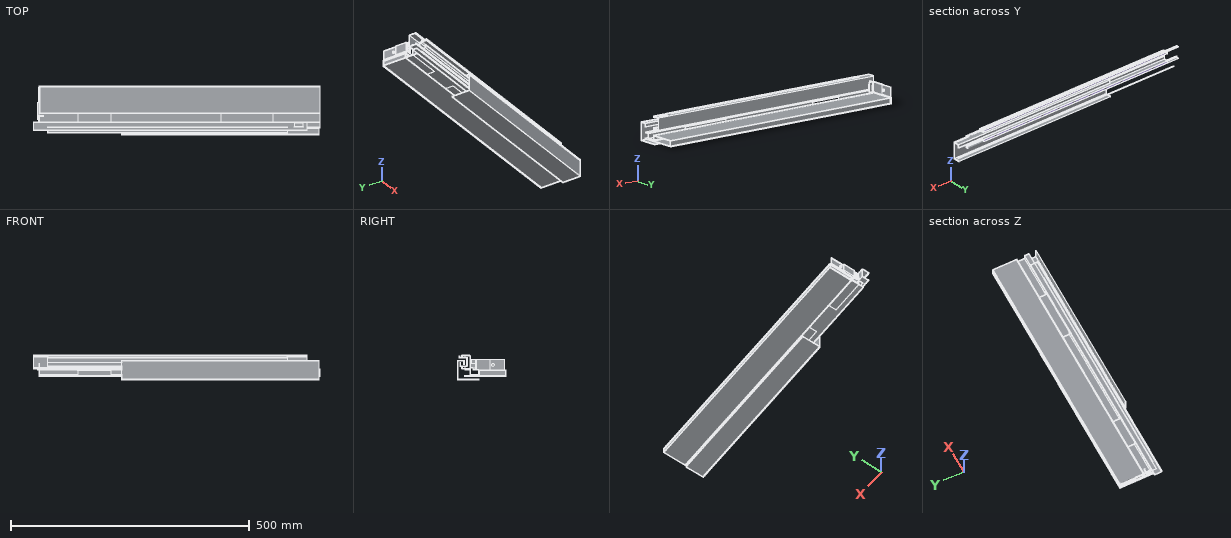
import cadquery as cq

SHEET = 1.5
THIN_SHEET = 0.9
TOTAL_LENGTH = 601.5
TOTAL_WIDTH = 102.0
TOTAL_HEIGHT = 52.0

BRACKET_START = 185.0
BRACKET_END = 599.5
BRACKET_HEIGHT = 41.0
BRACKET_FLOOR_WIDTH = 45.0
BRACKET_TOP_WIDTH = 14.5
BRACKET_LIP_BOTTOM = 32.5

RAIL_END = 574.5
RAIL_BACK = 27.0
RAIL_FRONT = 9.0
RAIL_BOTTOM = 22.0
RAIL_LIP_HEIGHT = 3.5
RAIL_BEND_RADIUS = 2.0
WINDOW_START = 547.5
WINDOW_END = 566.0
WINDOW_FRONT = 17.5
WINDOW_BACK = 24.5

MIDDLE_START = 30.0
MIDDLE_END = 533.0
MIDDLE_BACK = 21.0
MIDDLE_BOTTOM = 27.5
MIDDLE_TOP = 47.0
UPPER_FLANGE_FRONT = 3.5
UPPER_LIP_TOP = 50.0
LOWER_FLANGE_FRONT = 5.5
LOWER_LIP_TOP = 36.0
MIDDLE_CHAMFER = 2.0
MIDDLE_BEND_RADIUS = 1.0

STRIP_THICKNESS = 0.5
STRIP_FRONT = 15.5

TRAY_START = 12.0
TRAY_BOTTOM = 7.0
TRAY_TOP = 21.0
TRAY_BOX_FRONT = 44.5
TRAY_END_RECESS = 0.5
TRAY_PLATE_FRONT = 14.5

ANGLE_FLANGE_FRONT = 16.0
ANGLE_FOOT_THICKNESS = 2.1
GAP_RANGES = [(93.0, 162.5), (394.0, 503.0)]
GAP_TOP = 20.0

PLATE_THICKNESS = 2.0
PLATE_TOP = 43.0
PLATE_BACK = 99.0
COVER_BACK = 68.0
COVER_FRONT = 40.0
PLATE_FRONT = 38.5
HOLE_Y = 74.5
HOLE_Z = 31.0
HOLE_DIAMETER = 5.0
FLANGE_END = 21.0
TAB_SETBACK = 0.5
TAB_FRONT = 29.0
TAB_SPLIT = 34.0
TAB_BOTTOM = 25.0
TAB_FOOT_FRONT = 32.5


def box(x_range, y_range, z_range):
    """Box given by its lower and upper limit along each axis."""
    size = [high - low for low, high in (x_range, y_range, z_range)]
    corner = (x_range[0], y_range[0], z_range[0])
    return cq.Workplane("XY").box(*size, centered=False).translate(corner)


def along_x(points, start, end):
    """Closed (Y, Z) outline extruded from start to end along X."""
    return cq.Workplane("YZ").workplane(offset=start).polyline(points).close().extrude(end - start)


def make_bracket():
    lip_inside = BRACKET_TOP_WIDTH - SHEET
    outline = [
        (0, 0),
        (BRACKET_FLOOR_WIDTH, 0),
        (BRACKET_FLOOR_WIDTH, SHEET),
        (SHEET, SHEET),
        (SHEET, BRACKET_HEIGHT - SHEET),
        (lip_inside, BRACKET_HEIGHT - SHEET),
        (lip_inside, BRACKET_LIP_BOTTOM),
        (BRACKET_TOP_WIDTH, BRACKET_LIP_BOTTOM),
        (BRACKET_TOP_WIDTH, BRACKET_HEIGHT),
        (0, BRACKET_HEIGHT),
    ]
    return along_x(outline, BRACKET_START, BRACKET_END)


def make_outer_rail():
    inner_back = RAIL_BACK - THIN_SHEET
    lip_inside = RAIL_FRONT + SHEET
    outline = [
        (RAIL_BACK, RAIL_BOTTOM),
        (RAIL_BACK, TOTAL_HEIGHT),
        (RAIL_FRONT, TOTAL_HEIGHT),
        (RAIL_FRONT, TOTAL_HEIGHT - RAIL_LIP_HEIGHT),
        (lip_inside, TOTAL_HEIGHT - RAIL_LIP_HEIGHT),
        (lip_inside, TOTAL_HEIGHT - SHEET),
        (inner_back, TOTAL_HEIGHT - SHEET),
        (inner_back, RAIL_BOTTOM + SHEET),
        (lip_inside, RAIL_BOTTOM + SHEET),
        (lip_inside, RAIL_BOTTOM + RAIL_LIP_HEIGHT),
        (RAIL_FRONT, RAIL_BOTTOM + RAIL_LIP_HEIGHT),
        (RAIL_FRONT, RAIL_BOTTOM),
    ]
    rail = along_x(outline, 0, RAIL_END)
    for corner in (">Y and >Z", "<Y and >Z", "<Y and <Z"):
        rail = rail.edges(f"|X and {corner}").fillet(RAIL_BEND_RADIUS)
    window = box(
        (WINDOW_START, WINDOW_END),
        (WINDOW_FRONT, WINDOW_BACK),
        (TOTAL_HEIGHT - SHEET, TOTAL_HEIGHT),
    )
    return rail.cut(window)


def make_middle_rail():
    inner_back = MIDDLE_BACK - SHEET
    outline = [
        (MIDDLE_BACK, MIDDLE_BOTTOM),
        (MIDDLE_BACK, MIDDLE_TOP),
        (UPPER_FLANGE_FRONT + SHEET, MIDDLE_TOP),
        (UPPER_FLANGE_FRONT + SHEET, UPPER_LIP_TOP),
        (UPPER_FLANGE_FRONT, UPPER_LIP_TOP),
        (UPPER_FLANGE_FRONT, MIDDLE_TOP - SHEET),
        (inner_back, MIDDLE_TOP - SHEET),
        (inner_back, MIDDLE_BOTTOM + SHEET),
        (LOWER_FLANGE_FRONT + SHEET, MIDDLE_BOTTOM + SHEET),
        (LOWER_FLANGE_FRONT + SHEET, LOWER_LIP_TOP),
        (LOWER_FLANGE_FRONT, LOWER_LIP_TOP),
        (LOWER_FLANGE_FRONT, MIDDLE_BOTTOM),
    ]
    rail = along_x(outline, MIDDLE_START, MIDDLE_END)
    rail = rail.edges("|X and >Y and <Z").chamfer(MIDDLE_CHAMFER)
    lower_front_bend = ((MIDDLE_START + MIDDLE_END) / 2, LOWER_FLANGE_FRONT, MIDDLE_BOTTOM)
    return rail.edges(cq.NearestToPointSelector(lower_front_bend)).fillet(MIDDLE_BEND_RADIUS)


def make_bearing_strip(bottom, top):
    return box(
        (MIDDLE_START, MIDDLE_END),
        (STRIP_FRONT, STRIP_FRONT + STRIP_THICKNESS),
        (bottom, top),
    )


def make_tray():
    bottom_plate = box(
        (TRAY_START, TOTAL_LENGTH),
        (TRAY_PLATE_FRONT, TOTAL_WIDTH),
        (TRAY_BOTTOM, TRAY_BOTTOM + SHEET),
    )
    hollow_box = box(
        (TRAY_START, TOTAL_LENGTH),
        (TRAY_BOX_FRONT, TOTAL_WIDTH),
        (TRAY_BOTTOM, TRAY_TOP),
    )
    cavity = box(
        (TRAY_START, TOTAL_LENGTH),
        (TRAY_BOX_FRONT + SHEET, TOTAL_WIDTH - SHEET),
        (TRAY_BOTTOM + SHEET, TRAY_TOP - SHEET),
    )
    wall_start = TRAY_START + TRAY_END_RECESS
    end_wall = box(
        (wall_start, wall_start + SHEET),
        (TRAY_BOX_FRONT, TOTAL_WIDTH),
        (TRAY_BOTTOM, TRAY_TOP),
    )
    return bottom_plate.union(hollow_box).cut(cavity).union(end_wall)


def make_mounting_angle():
    foot_bottom = TRAY_BOTTOM + SHEET
    foot_top = foot_bottom + ANGLE_FOOT_THICKNESS
    upright_front = RAIL_BACK - THIN_SHEET
    outline = [
        (upright_front, foot_bottom),
        (TRAY_BOX_FRONT, foot_bottom),
        (TRAY_BOX_FRONT, foot_top),
        (RAIL_BACK, foot_top),
        (RAIL_BACK, RAIL_BOTTOM),
        (ANGLE_FLANGE_FRONT, RAIL_BOTTOM),
        (ANGLE_FLANGE_FRONT, RAIL_BOTTOM - SHEET),
        (upright_front, RAIL_BOTTOM - SHEET),
    ]
    angle = along_x(outline, TRAY_START, TOTAL_LENGTH)
    for gap in GAP_RANGES:
        angle = angle.cut(box(gap, (upright_front, TRAY_BOX_FRONT), (foot_bottom, GAP_TOP)))
    return angle


def make_end_plate():
    plate_start = TRAY_START - PLATE_THICKNESS
    cover_start = plate_start - PLATE_THICKNESS
    upper_tab_start = plate_start + TAB_SETBACK
    lower_tab_start = upper_tab_start + TAB_SETBACK
    tab_root = PLATE_FRONT + PLATE_THICKNESS
    full_height = (TRAY_TOP, PLATE_TOP)

    plate = box((plate_start, TRAY_START), (PLATE_FRONT, PLATE_BACK), full_height)
    cover = box((cover_start, plate_start), (COVER_FRONT, COVER_BACK), full_height)
    flange = box((plate_start, FLANGE_END), (PLATE_FRONT, tab_root), full_height)
    upper_tab = box(
        (upper_tab_start, upper_tab_start + PLATE_THICKNESS),
        (TAB_FRONT, tab_root),
        (TAB_SPLIT, PLATE_TOP),
    )
    lower_tab = box(
        (lower_tab_start, lower_tab_start + PLATE_THICKNESS),
        (RAIL_BACK, tab_root),
        (TAB_BOTTOM, TAB_SPLIT),
    )
    tab_foot = box((cover_start, TRAY_START), (TAB_FOOT_FRONT, PLATE_FRONT), (TRAY_TOP, TAB_BOTTOM))
    for piece in (cover, flange, upper_tab, lower_tab, tab_foot):
        plate = plate.union(piece)
    hole = cq.Workplane("YZ").center(HOLE_Y, HOLE_Z).circle(HOLE_DIAMETER / 2).extrude(TRAY_START)
    return plate.cut(hole)


bracket = make_bracket()
outer_rail = make_outer_rail()
middle_rail = make_middle_rail()
tray = make_tray()
mounting_angle = make_mounting_angle()
end_plate = make_end_plate()

strip_heights = [
    (RAIL_BOTTOM + SHEET, MIDDLE_BOTTOM),
    (MIDDLE_TOP, TOTAL_HEIGHT - SHEET),
]
bearing_strips = [make_bearing_strip(bottom, top).val() for bottom, top in strip_heights]

result = cq.Compound.makeCompound([
    bracket.val(),
    outer_rail.val(),
    middle_rail.val(),
    tray.val(),
    mounting_angle.val(),
    end_plate.val(),
    *bearing_strips,
])